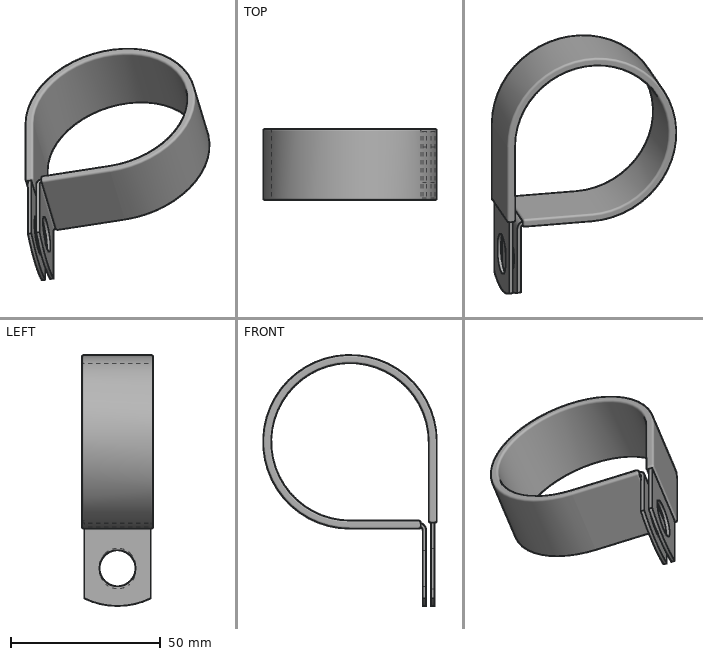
import cadquery as cq
import math


bore_radius = 26.194
strap_thickness = 1.214
strap_width = 22.225
cushion_wall = 0.79375
cushion_edge_radius = 0.762
tab_gap = 1.5875
tab_bottom_z = -54.77
tab_end_radius = 25.4
bend_inner_radius = 1.3
flat_leg_setback = 0.6
hole_diameter = 11.906
slot_length = 13.494
hole_z = -42.15

cushion_outer_radius = bore_radius + 2 * cushion_wall + strap_thickness
cushion_width = strap_width + 2 * cushion_wall
strap_inner_radius = bore_radius + cushion_wall
strap_outer_radius = strap_inner_radius + strap_thickness
bend_outer_radius = bend_inner_radius + strap_thickness
inner_tab_right_x = strap_inner_radius - tab_gap
inner_tab_left_x = inner_tab_right_x - strap_thickness
bend_start_x = inner_tab_right_x - bend_outer_radius
bend_center_z = -strap_inner_radius - bend_outer_radius
flat_leg_end_x = inner_tab_left_x - flat_leg_setback
upright_leg_end_z = -bore_radius - cushion_wall
tab_sagitta = tab_end_radius - math.sqrt(tab_end_radius**2 - (strap_width / 2) ** 2)


def loop_arc_points(radius):
    """Upper-left and lowest points of the three-quarter loop."""
    diagonal = radius * math.sqrt(0.5)
    return (-diagonal, diagonal), (0, -radius)


def extrude_centered(profile, width):
    """Extrude a closed XZ profile evenly to both sides of Y = 0."""
    return profile.close().extrude(width / 2, both=True)


def make_cushion():
    """Rubber cover: three-quarter loop with two straight legs, sides and ends rounded."""
    outer_mid, outer_low = loop_arc_points(cushion_outer_radius)
    inner_mid, inner_low = loop_arc_points(bore_radius)
    profile = (
        cq.Workplane("XZ")
        .moveTo(cushion_outer_radius, upright_leg_end_z)
        .lineTo(cushion_outer_radius, 0)
        .threePointArc(outer_mid, outer_low)
        .lineTo(flat_leg_end_x, -cushion_outer_radius)
        .lineTo(flat_leg_end_x, -bore_radius)
        .lineTo(*inner_low)
        .threePointArc(inner_mid, (bore_radius, 0))
        .lineTo(bore_radius, upright_leg_end_z)
    )
    cushion = extrude_centered(profile, cushion_width)
    end_face_centers = (
        ((bore_radius + cushion_outer_radius) / 2, 0, upright_leg_end_z),
        (flat_leg_end_x, 0, -(bore_radius + cushion_outer_radius) / 2),
    )
    rounded_edges = cushion.faces("|Y").edges()
    for center in end_face_centers:
        end_face = cushion.faces(cq.selectors.NearestToPointSelector(center))
        rounded_edges = rounded_edges.add(end_face.edges("|Y"))
    return rounded_edges.fillet(cushion_edge_radius)


def bend_midpoint(radius):
    """Point halfway round the quarter-turn bend above the bent tab."""
    diagonal = radius * math.sqrt(0.5)
    return (bend_start_x + diagonal, bend_center_z + diagonal)


def make_strap():
    """Metal strap: loop with an upright tab in line with it and a bent-down inner tab."""
    outer_mid, outer_low = loop_arc_points(strap_outer_radius)
    inner_mid, inner_low = loop_arc_points(strap_inner_radius)
    bend_inner_mid = bend_midpoint(bend_inner_radius)
    bend_outer_mid = bend_midpoint(bend_outer_radius)
    profile = (
        cq.Workplane("XZ")
        .moveTo(strap_outer_radius, tab_bottom_z)
        .lineTo(strap_outer_radius, 0)
        .threePointArc(outer_mid, outer_low)
        .lineTo(bend_start_x, -strap_outer_radius)
        .threePointArc(bend_inner_mid, (inner_tab_left_x, bend_center_z))
        .lineTo(inner_tab_left_x, tab_bottom_z)
        .lineTo(inner_tab_right_x, tab_bottom_z)
        .lineTo(inner_tab_right_x, bend_center_z)
        .threePointArc(bend_outer_mid, (bend_start_x, -strap_inner_radius))
        .lineTo(*inner_low)
        .threePointArc(inner_mid, (strap_inner_radius, 0))
        .lineTo(strap_inner_radius, tab_bottom_z)
    )
    return extrude_centered(profile, strap_width)


def make_strap_outline():
    """Block along X with the strap's width and its rounded lower end."""
    half_width = strap_width / 2
    corner_z = tab_bottom_z + tab_sagitta
    return (
        cq.Workplane("YZ")
        .moveTo(-half_width, strap_outer_radius)
        .lineTo(-half_width, corner_z)
        .threePointArc((0, tab_bottom_z), (half_width, corner_z))
        .lineTo(half_width, strap_outer_radius)
        .close()
        .extrude(strap_outer_radius, both=True)
    )


def make_bolt_openings():
    """Round hole through the bent tab and an upright slot through the straight tab."""
    hole = (
        cq.Workplane("YZ")
        .center(0, hole_z)
        .circle(hole_diameter / 2)
        .extrude(strap_inner_radius)
    )
    slot = (
        cq.Workplane("YZ", origin=(inner_tab_right_x, 0, hole_z))
        .slot2D(slot_length, hole_diameter, 90)
        .extrude(strap_outer_radius - inner_tab_right_x)
    )
    return hole.union(slot)


strap = make_strap().intersect(make_strap_outline()).cut(make_bolt_openings())
result = make_cushion().union(strap)